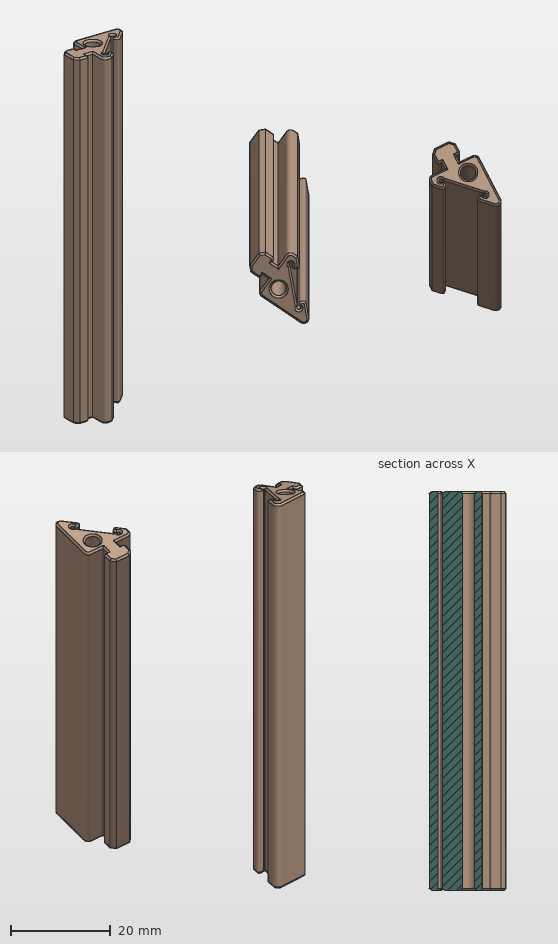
import cadquery as cq
import math

length = 80.0
width = 11.0
depth = 16.3

tongue_center_x = width / 2
head_width = 5.1
head_height = 3.2
head_chamfer = 1.0
head_shoulder_radius = 0.5
neck_width = 3.2
body_bottom_y = 4.7

corner_radius = 1.0
root_two = math.sqrt(2)
body_height = depth - body_bottom_y
triangle_leg = body_height + corner_radius * root_two

bore_diameter = 3.0
bore_x = 3.4
bore_y = body_bottom_y + 2.8

channel_depth = 1.8
channel_mouth = 7.0
channel_shift = 0.4
bulb_radius = 0.4
bulb_height = 0.2
bulb_spacing = 9.4
lip_gap = 0.4
lip_radius = 0.5

end_chamfer = 0.4


def block(size_x, size_y, center_x, bottom_y):
    """Full-length bar standing on z = 0."""
    return (
        cq.Workplane("XY")
        .center(center_x, bottom_y + size_y / 2)
        .rect(size_x, size_y)
        .extrude(length)
    )


def make_body():
    """Triangular prism, with every corner but the one at the slope foot rounded."""
    slope_foot_y = body_bottom_y + triangle_leg - width
    prism = (
        cq.Workplane("XY")
        .moveTo(0, body_bottom_y)
        .lineTo(width, body_bottom_y)
        .lineTo(width, slope_foot_y)
        .lineTo(0, body_bottom_y + triangle_leg)
        .close()
        .extrude(length)
    )
    return prism.edges("|Z").edges("<X or <Y").fillet(corner_radius)


def make_tongue():
    """Wide head on a neck that reaches into the body."""
    head = block(head_width, head_height, tongue_center_x, 0)
    head = head.edges("|Z and <Y").chamfer(head_chamfer)
    head = head.edges("|Z and >Y").fillet(head_shoulder_radius)
    neck_overlap = 0.8
    neck_height = body_bottom_y - head_height + 2 * neck_overlap
    neck = block(neck_width, neck_height, tongue_center_x, head_height - neck_overlap)
    return head.union(neck)


def make_channel():
    """Void of the channel: local x runs down the slope, local y points out of it."""
    half_leg = triangle_leg / 2
    slope = cq.Workplane(
        cq.Plane(
            origin=(half_leg, body_bottom_y + half_leg, 0),
            xDir=(1, -1, 0),
            normal=(0, 0, 1),
        )
    ).center(channel_shift, -channel_depth)
    mouth = channel_mouth / 2
    bulb = bulb_spacing / 2
    arc_middle = lip_radius * (1 - 1 / root_two)

    void = cq.Workplane("XY")
    for side in (-1, 1):
        half = (
            slope.moveTo(0, 0)
            .lineTo(side * bulb, 0)
            .lineTo(side * bulb, lip_gap)
            .lineTo(side * (mouth + lip_radius), lip_gap)
            .threePointArc(
                (side * (mouth + arc_middle), lip_gap + arc_middle),
                (side * mouth, lip_gap + lip_radius),
            )
            .lineTo(side * mouth, channel_depth - lip_radius)
            .threePointArc(
                (side * (mouth + arc_middle), channel_depth - arc_middle),
                (side * (mouth + lip_radius), channel_depth),
            )
            .lineTo(0, channel_depth)
            .close()
            .extrude(length)
        )
        bulb_void = slope.center(side * bulb, bulb_height).circle(bulb_radius).extrude(length)
        void = void.union(half).union(bulb_void)
    return void


profile = make_body().union(make_tongue()).cut(make_channel())
bore = cq.Workplane("XY").center(bore_x, bore_y).circle(bore_diameter / 2).extrude(length)
profile = profile.cut(bore)

result = profile.faces("<Z or >Z").chamfer(end_chamfer)